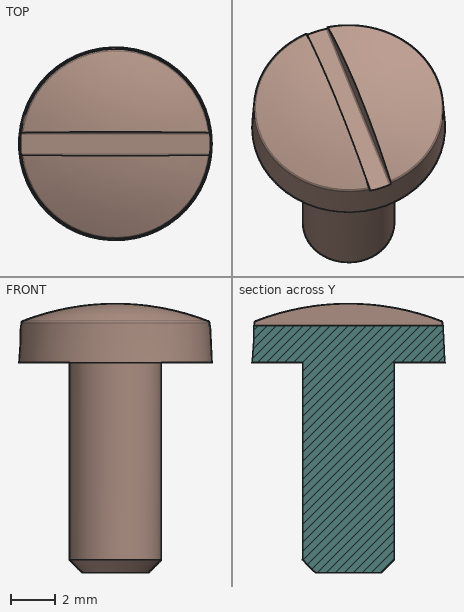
import cadquery as cq
import math


shank_diameter = 4.16
shank_length = 9.51
tip_chamfer = 0.59

head_diameter = 8.74
side_height = 1.86
side_draft = 2.7
slotted_head_height = 2.67
rim_fillet = 0.1

slot_top_width = 1.08
slot_floor_width = 1.0
slot_floor_height = 1.67
slot_floor_fillet = 0.06
slot_overrun = 1.0

rim_radius = head_diameter / 2 - side_height * math.tan(math.radians(side_draft))
slot_edge_rise = slotted_head_height - side_height
slot_half_width = slot_top_width / 2
dome_center_drop = (rim_radius**2 - slot_half_width**2 - slot_edge_rise**2) / (2 * slot_edge_rise)
dome_radius = math.hypot(rim_radius, dome_center_drop)
dome_height = dome_radius - dome_center_drop


def make_shank():
    """Plain cylinder below the head with a chamfered tip."""
    shank = cq.Workplane("XY").circle(shank_diameter / 2).extrude(-shank_length)
    return shank.faces("<Z").chamfer(tip_chamfer)


def make_head():
    """Tapered disc topped by a spherical dome, with a rounded rim."""
    half_angle = math.asin(rim_radius / dome_radius) / 2
    arc_middle = (
        dome_radius * math.sin(half_angle),
        side_height - dome_center_drop + dome_radius * math.cos(half_angle),
    )
    profile = (
        cq.Workplane("XZ")
        .lineTo(head_diameter / 2, 0)
        .lineTo(rim_radius, side_height)
        .threePointArc(arc_middle, (0, side_height + dome_height))
        .close()
    )
    head = profile.revolve(360, (0, 0, 0), (0, 1, 0))
    rim_edge = head.edges(cq.selectors.RadiusNthSelector(0))
    return rim_edge.fillet(rim_fillet)


def make_slot_cutter():
    """Bar along X that widens upwards and has rounded lower edges."""
    wall_slope = (slot_top_width - slot_floor_width) / (slotted_head_height - slot_floor_height) / 2
    cutter_top = slotted_head_height + slot_overrun
    cutter_half_top = slot_half_width + wall_slope * slot_overrun
    cutter_half_length = head_diameter / 2 + slot_overrun
    cutter = (
        cq.Workplane("YZ")
        .moveTo(-slot_floor_width / 2, slot_floor_height)
        .lineTo(slot_floor_width / 2, slot_floor_height)
        .lineTo(cutter_half_top, cutter_top)
        .lineTo(-cutter_half_top, cutter_top)
        .close()
        .extrude(cutter_half_length, both=True)
    )
    return cutter.faces("<Z").edges("|X").fillet(slot_floor_fillet)


result = make_head().cut(make_slot_cutter()).union(make_shank())